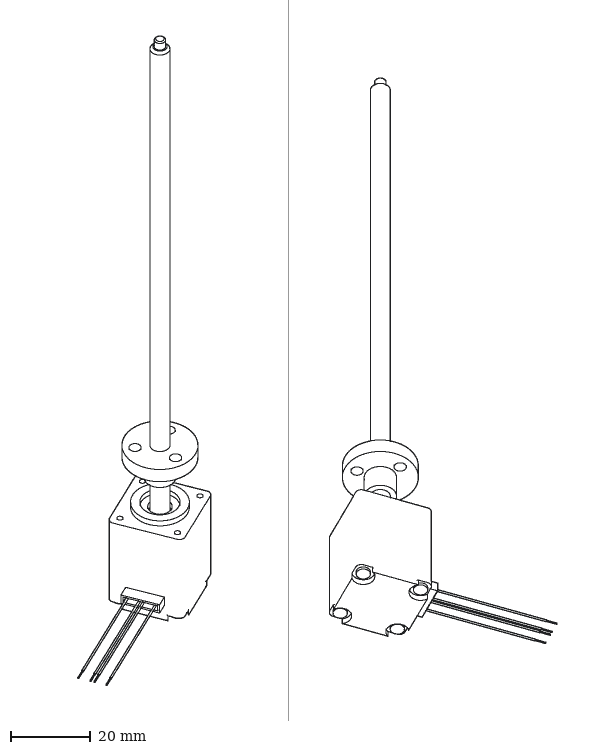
import cadquery as cq

total_height = 179.8

motor_width = 20.3
corner_radius = 1.53
rear_cover_height = 8.6
stator_height = 15.5
front_cover_height = 3.2
motor_height = rear_cover_height + stator_height + front_cover_height

boss_diameter = 14.7
boss_height = 1.6
recess_diameter = 10.0
recess_depth = 1.5
recess_floor = motor_height + boss_height - recess_depth

bore_diameter = 6.1
bore_depth = 1.8
bore_floor = recess_floor - bore_depth

screw_spacing = 15.5
mount_hole_diameter = 1.53
mount_hole_depth = 3.2
pocket_diameter = 5.8
pocket_height = 1.6
head_diameter = 3.6
head_height = 0.7

connector_width = 10.5
connector_height = 2.7
connector_length = 3.2
connector_wall = 0.5
connector_z = 6.1
socket_depth = 2.7
socket_floor_y = -motor_width / 2 - connector_length + socket_depth

outer_wire_x = 3.8
inner_wire_x = 0.5
wire_positions = (-outer_wire_x, -inner_wire_x, inner_wire_x, outer_wire_x)
wire_z = 6.3
total_depth = 56.3
wire_end_y = motor_width / 2 - total_depth
insulation_diameter = 0.5
conductor_diameter = 0.4
stripped_length = 2.9

screw_diameter = 5.0
screw_chamfer = 0.7
journal_diameter = 2.9
journal_length = 2.5
journal_chamfer = 0.4

nut_bottom = 37.0
barrel_diameter = 8.1
barrel_length = 6.5
flange_diameter = 19.0
flange_thickness = 4.0
flange_hole_diameter = 3.0
flange_hole_circle = 12.5
flange_hole_count = 3
first_flange_hole_angle = 90
full_turn = 360


def cylinder(diameter, height, base_z):
    """Upright cylinder on the Z axis."""
    return cq.Workplane("XY").workplane(offset=base_z).circle(diameter / 2).extrude(height)


def motor_section(height, base_z):
    """One square section of the motor with rounded vertical edges."""
    base = cq.Workplane("XY").workplane(offset=base_z)
    section = base.rect(motor_width, motor_width).extrude(height)
    return section.edges("|Z").fillet(corner_radius)


def corner_cylinders(diameter, height, base_z):
    """Four upright cylinders on the corner screw axes."""
    base = cq.Workplane("XY").workplane(offset=base_z)
    corners = base.rect(screw_spacing, screw_spacing, forConstruction=True)
    return corners.vertices().circle(diameter / 2).extrude(height)


def make_connector():
    """Connector shell with a socket open towards -Y."""
    face = cq.Workplane("XZ", origin=(0, -motor_width / 2, connector_z))
    shell = face.rect(connector_width, connector_height).extrude(connector_length)
    socket = (
        face.workplane(offset=connector_length - socket_depth)
        .rect(connector_width - 2 * connector_wall, connector_height - 2 * connector_wall)
        .extrude(socket_depth)
    )
    return shell.cut(socket)


def make_wire(x):
    """Insulated wire with a stripped end, running along -Y from the socket floor."""
    length = socket_floor_y - wire_end_y
    start = cq.Workplane("XZ", origin=(x, socket_floor_y, wire_z))
    insulation = start.circle(insulation_diameter / 2).extrude(length - stripped_length)
    conductor = start.circle(conductor_diameter / 2).extrude(length)
    return insulation.union(conductor)


def make_motor():
    """Motor housing with its boss, corner features, connector and wires, as one solid."""
    motor = motor_section(rear_cover_height, 0)
    motor = motor.union(motor_section(stator_height, rear_cover_height), clean=False)
    front_cover_base = rear_cover_height + stator_height
    motor = motor.union(motor_section(front_cover_height, front_cover_base), clean=False)
    motor = motor.union(cylinder(boss_diameter, boss_height, motor_height), clean=False)
    motor = motor.cut(cylinder(recess_diameter, recess_depth, recess_floor), clean=False)
    motor = motor.cut(cylinder(bore_diameter, bore_depth, bore_floor), clean=False)

    mount_holes = corner_cylinders(mount_hole_diameter, mount_hole_depth, motor_height - mount_hole_depth)
    motor = motor.cut(mount_holes, clean=False)
    motor = motor.cut(corner_cylinders(pocket_diameter, pocket_height, 0), clean=False)

    screw_heads = corner_cylinders(head_diameter, head_height, pocket_height - head_height)
    motor = motor.union(screw_heads, clean=False)

    motor = motor.union(make_connector(), clean=False)
    for x in wire_positions:
        motor = motor.union(make_wire(x), clean=False)
    return motor


def make_lead_screw():
    """Plain rod standing on the bore floor, with a thin journal at the top."""
    shoulder_z = total_height - journal_length
    rod = cylinder(screw_diameter, shoulder_z - bore_floor, bore_floor)
    rod = rod.faces(">Z").edges().chamfer(screw_chamfer)
    journal = cylinder(journal_diameter, journal_length, shoulder_z)
    journal = journal.faces(">Z").edges().chamfer(journal_chamfer)
    return rod.union(journal)


def make_nut():
    """Barrel with a drilled flange on top, bored to the screw diameter."""
    flange_base = nut_bottom + barrel_length
    nut = cylinder(barrel_diameter, barrel_length, nut_bottom)
    nut = nut.union(cylinder(flange_diameter, flange_thickness, flange_base))
    nut = nut.cut(cylinder(screw_diameter, barrel_length + flange_thickness, nut_bottom))
    flange_holes = (
        cq.Workplane("XY")
        .workplane(offset=flange_base)
        .polarArray(flange_hole_circle / 2, first_flange_hole_angle, full_turn, flange_hole_count)
        .circle(flange_hole_diameter / 2)
        .extrude(flange_thickness)
    )
    return nut.cut(flange_holes)


motor = make_motor()
lead_screw = make_lead_screw()
nut = make_nut()

result = cq.Compound.makeCompound([motor.val(), lead_screw.val(), nut.val()])